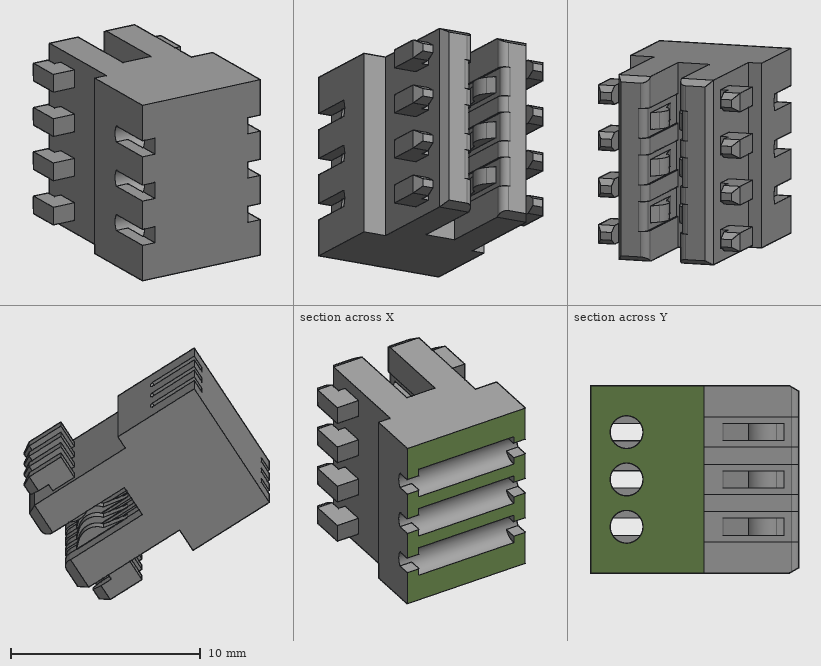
import cadquery as cq
import math

LENGTH = 11
HEIGHT = 9.9
PITCH = 2.5
CONTACT_COUNT = 3
PIN_COUNT = CONTACT_COUNT + 1

BODY_START_X = 6.2
BODY_FRONT_Y = -3.37
BODY_BACK_Y = 3.95

ARM_OUTER_Y = 2.64
MOUTH_HALF_WIDTH = 0.87
MOUTH_DEPTH = 5.0
MOUTH_ROUND = 0.4

TAPER_LENGTH = 0.51
TAPER_WIDTH = TAPER_LENGTH * math.tan(math.radians(30))

ROOT_OVERLAP = 0.11

RECESS_DEPTH = 0.1
RECESS_HEIGHT = 1.6
RECESS_Y = MOUTH_HALF_WIDTH + RECESS_DEPTH

CONTACT_HEIGHT = 0.9
BUMP_X = 1.87
BUMP_RADIUS = 1.0
BUMP_TIP_Y = 0.34
BUMP_LEAD_IN_ANGLE = 43
BUMP_TAIL_ANGLE = 52
TAIL_END_X = 4.0

PIN_TIP_X = TAPER_LENGTH
PIN_STEM_X = 1.65
PIN_END_X = 3.0
PIN_INNER_Y = 3.05
PIN_OUTER_Y = BODY_BACK_Y
PIN_HEIGHT = 1.0

SLOT_HEIGHT = 0.9
SLOT_DEPTH = 0.77
BORE_X = 9.1
BORE_RADIUS = 0.86
BORE_START_DEPTH = 0.73


def box(x_range, y_range, z_range):
    """Box between the given (low, high) limits on each axis."""
    size = [high - low for low, high in (x_range, y_range, z_range)]
    corner = (x_range[0], y_range[0], z_range[0])
    return cq.Workplane("XY").box(*size, centered=False).translate(corner)


def row(count):
    """Heights of a row of evenly spaced features centred on Z = 0."""
    return [(i - (count - 1) / 2) * PITCH for i in range(count)]


def span(center, height):
    """Low and high limits of a height about its center."""
    return (center - height / 2, center + height / 2)


def extrude_z(profile, center, height):
    """Extrude a closed XY profile by a height centred on the given Z."""
    return profile.extrude(height).translate((0, 0, center - height / 2))


def end_taper(tip_x, z_center, height):
    """Side envelope, across Y, that narrows in Z towards the tip."""
    half = height / 2
    half_tip = half - TAPER_WIDTH
    shoulder_x = tip_x + TAPER_LENGTH
    return (
        cq.Workplane("XZ")
        .polyline([
            (tip_x, z_center - half_tip),
            (shoulder_x, z_center - half),
            (LENGTH, z_center - half),
            (LENGTH, z_center + half),
            (shoulder_x, z_center + half),
            (tip_x, z_center + half_tip),
        ])
        .close()
        .extrude(LENGTH, both=True)
    )


def arm_slice(inner_y, z_center, height):
    """Length of arm with a rounded inner and a tapered outer front corner."""
    round_mid = MOUTH_ROUND * (1 - math.sqrt(0.5))
    profile = (
        cq.Workplane("XY")
        .moveTo(0, inner_y + MOUTH_ROUND)
        .threePointArc((round_mid, inner_y + round_mid), (MOUTH_ROUND, inner_y))
        .lineTo(BODY_START_X, inner_y)
        .lineTo(BODY_START_X, ARM_OUTER_Y)
        .lineTo(TAPER_LENGTH, ARM_OUTER_Y)
        .lineTo(0, ARM_OUTER_Y - TAPER_WIDTH)
        .close()
    )
    return extrude_z(profile, z_center, height)


def arm():
    """Arm with its recesses; the recessed heights are rebuilt with a set-back inner face."""
    shape = arm_slice(MOUTH_HALF_WIDTH, 0, HEIGHT)
    for z in row(CONTACT_COUNT):
        recess_zone = box((0, MOUTH_DEPTH), (0, ARM_OUTER_Y), span(z, RECESS_HEIGHT))
        recessed_slice = arm_slice(RECESS_Y, z, RECESS_HEIGHT)
        shape = shape.cut(recess_zone).union(recessed_slice)
    return shape.intersect(end_taper(0, 0, HEIGHT))


def contact(z):
    """Spring contact bulging from the recess into the mouth."""
    center_y = BUMP_TIP_Y + BUMP_RADIUS
    lead_in = math.radians(BUMP_LEAD_IN_ANGLE)
    tail = math.radians(BUMP_TAIL_ANGLE)
    bump_start = (BUMP_X - BUMP_RADIUS * math.sin(lead_in), center_y - BUMP_RADIUS * math.cos(lead_in))
    bump_end = (BUMP_X + BUMP_RADIUS * math.sin(tail), center_y - BUMP_RADIUS * math.cos(tail))
    root_x = bump_start[0] - (RECESS_Y - bump_start[1]) / math.tan(lead_in)
    embed_y = RECESS_Y + ROOT_OVERLAP
    profile = (
        cq.Workplane("XY")
        .moveTo(root_x, RECESS_Y)
        .lineTo(*bump_start)
        .threePointArc((BUMP_X, BUMP_TIP_Y), bump_end)
        .lineTo(TAIL_END_X, RECESS_Y)
        .lineTo(TAIL_END_X, embed_y)
        .lineTo(root_x, embed_y)
        .close()
    )
    return extrude_z(profile, z, CONTACT_HEIGHT)


def pin(z):
    """L-shaped pin rooted in the arm and pointing to the mouth, tapered on three sides of its tip."""
    profile = (
        cq.Workplane("XY")
        .polyline([
            (PIN_STEM_X, ARM_OUTER_Y - ROOT_OVERLAP),
            (PIN_STEM_X, PIN_INNER_Y),
            (PIN_TIP_X, PIN_INNER_Y),
            (PIN_TIP_X, PIN_OUTER_Y - TAPER_WIDTH),
            (PIN_TIP_X + TAPER_LENGTH, PIN_OUTER_Y),
            (PIN_END_X, PIN_OUTER_Y),
            (PIN_END_X, ARM_OUTER_Y - ROOT_OVERLAP),
        ])
        .close()
    )
    return extrude_z(profile, z, PIN_HEIGHT).intersect(end_taper(PIN_TIP_X, z, PIN_HEIGHT))


def body():
    """Rear block and the web that closes the mouth."""
    z_range = span(0, HEIGHT)
    block = box((BODY_START_X, LENGTH), (BODY_FRONT_Y, BODY_BACK_Y), z_range)
    web = box((MOUTH_DEPTH, BODY_START_X), (-ARM_OUTER_Y, ARM_OUTER_Y), z_range)
    return block.union(web)


def cross_bore(y_range):
    """Row of round bores along Y, one per contact."""
    depth = y_range[1] - y_range[0]
    centers = [(BORE_X, z) for z in row(CONTACT_COUNT)]
    bores = cq.Workplane("XZ").pushPoints(centers).circle(BORE_RADIUS).extrude(-depth)
    return bores.translate((0, y_range[0], 0))


def wire_openings():
    """Slots open to the back end, with round inner ends, and the bores between them."""
    outside = (BODY_FRONT_Y, BODY_BACK_Y)
    round_ends = cross_bore(outside)
    openings = cross_bore((BODY_FRONT_Y + BORE_START_DEPTH, BODY_BACK_Y - BORE_START_DEPTH))
    front_slot = (BODY_FRONT_Y, BODY_FRONT_Y + SLOT_DEPTH)
    back_slot = (BODY_BACK_Y - SLOT_DEPTH, BODY_BACK_Y)
    for z in row(CONTACT_COUNT):
        z_range = span(z, SLOT_HEIGHT)
        passage = box((BODY_START_X, LENGTH), outside, z_range).intersect(round_ends)
        openings = openings.union(passage)
        for y_range in (front_slot, back_slot):
            openings = openings.union(box((BORE_X, LENGTH), y_range, z_range))
    return openings


half = arm()
for contact_z in row(CONTACT_COUNT):
    half = half.union(contact(contact_z))
for pin_z in row(PIN_COUNT):
    half = half.union(pin(pin_z))

result = body().cut(wire_openings()).union(half).union(half.mirror("XZ")).clean()